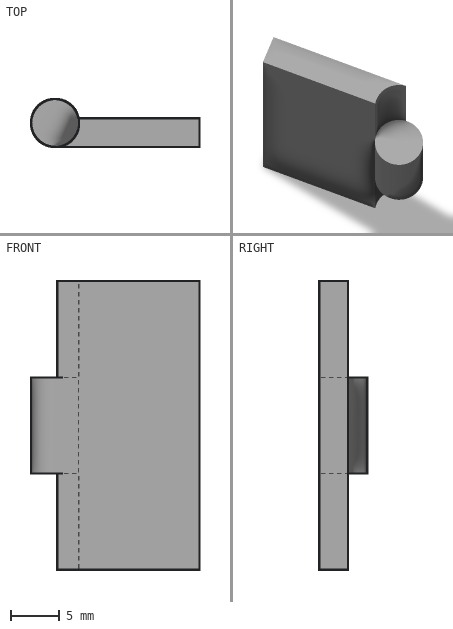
import cadquery as cq

knuckle_radius = 2.5
knuckle_height = 10.0
knuckle_clearance = 0.01
leaf_reach = 15.0
leaf_height = 30.0
leaf_thickness = 3.0
leaf_front_y = -knuckle_radius


def upright_cylinder(radius, height):
    """Cylinder on the hinge axis (Z), centred at mid height."""
    return cq.Workplane("XY").circle(radius).extrude(height / 2, both=True)


def leaf_slab(height):
    """Plain plate from the hinge axis to the free edge, centred at mid height."""
    return (
        cq.Workplane("XY")
        .box(leaf_reach, leaf_thickness, height, centered=(False, False, True))
        .translate((0, leaf_front_y, 0))
    )


def make_leaf():
    """Full-height plate with a concave arc along its hinge-side edge."""
    clearance_cut = upright_cylinder(knuckle_radius + knuckle_clearance, leaf_height)
    return leaf_slab(leaf_height).cut(clearance_cut)


def make_knuckle():
    """Solid knuckle with the stretch of plate that joins it to the leaf."""
    return upright_cylinder(knuckle_radius, knuckle_height).union(leaf_slab(knuckle_height))


def make_hinge_leaf():
    """Leaf and knuckle as one solid."""
    return make_leaf().union(make_knuckle())


result = make_hinge_leaf()